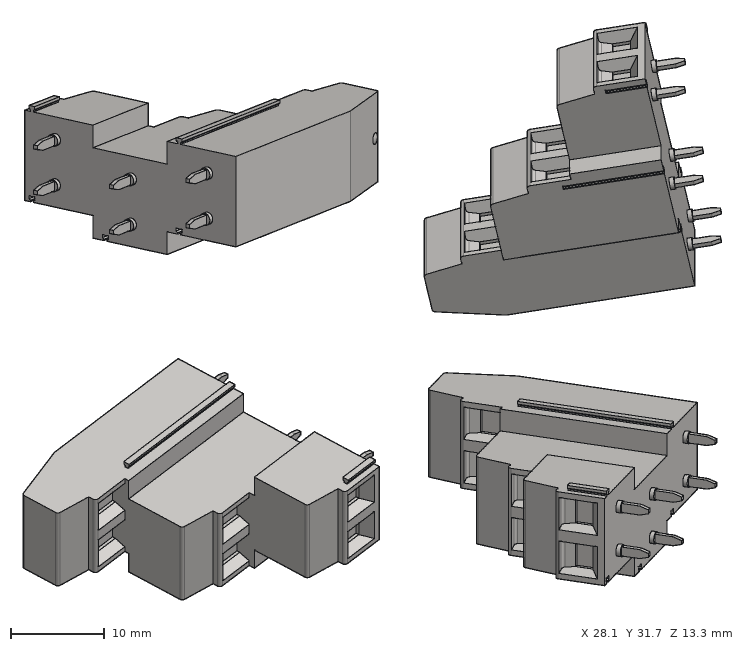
import cadquery as cq

BLOCK_COUNT = 3
POLE_COUNT = 2
LENGTH = 28.1
BODY_HEIGHT = 28.15
TOTAL_HEIGHT = 31.7
BLOCK_DEPTH = 10.1
Z_STAGGER = 2.55
STEP_RISE = 9.1
POLE_PITCH = BLOCK_DEPTH / POLE_COUNT

SPLIT_X = (9.07, 18.95)
WIRE_FACE_X = (0.0, 9.8, 19.5)
SHELF_WIDTH = 0.98
SHELF_DROP = 4.28
SLOPE_RUN = 0.7
BACK_SLOPE_RUN = 1.93
BACK_SLOPE_RISE = 7.65
EDGE_RADIUS = 0.38

FUNNEL_TOP_BELOW_SHELF = 0.48
FUNNEL_BOTTOM_Y = 0.82
FUNNEL_WIDTH = 3.75
FUNNEL_DEPTH = 1.33
FUNNEL_SIDE_TAPER = 0.48
FUNNEL_FLOOR_TAPER = 1.0
CLAMP_TOP_DROP = 1.4
CLAMP_DEPTH = 1.7
ROOF_BACK_DEPTH = 0.95
ROOF_RADIUS = 0.38

PIN_X = (4.1, 14.2, 24.35)
COLLAR_DIAMETER = 1.33
COLLAR_LENGTH = 0.5
BLADE_THICKNESS = 0.5
BLADE_WIDTH = 1.05
TIP_WIDTH = 0.45
TIP_LENGTH = 0.98

RIB_X = (0.95, 10.75, 20.55)
RIB_TOP_Y = (4.47, 11.0, 17.53)
RIB_HEIGHT = 0.63
RIB_WIDTH = 0.75
RIB_NECK_WIDTH = 0.4
RIB_NECK_HEIGHT = 0.15
RIB_HEAD_HEIGHT = 0.32

DOME_DIAMETER = 1.27
DOME_HEIGHT = 0.15
DOME_BELOW_TOP = 0.95
DOME_ROOT = 0.15

BLOCK_TOP_Y = [BODY_HEIGHT - STEP_RISE * (BLOCK_COUNT - 1 - index) for index in range(BLOCK_COUNT)]
BLOCK_BOTTOM_Z = (Z_STAGGER, 0.0, Z_STAGGER)
RIBBED_BLOCKS = (0, 2)


def block_outline(index):
    """Corner points of a block outline and the corners that are rounded."""
    top = BLOCK_TOP_Y[index]
    shelf = top - SHELF_DROP
    face = WIRE_FACE_X[index]
    shelf_corner = (face, shelf)
    front_corner = (face + SHELF_WIDTH + SLOPE_RUN, top)
    rounded = [shelf_corner, front_corner]

    if index == 0:
        points = [(face, 0)]
    else:
        step = BLOCK_TOP_Y[index - 1]
        split = SPLIT_X[index - 1]
        points = [(split, 0), (split, step), (face, step)]
    points += [shelf_corner, (face + SHELF_WIDTH, shelf), front_corner]

    if index < len(SPLIT_X):
        points += [(SPLIT_X[index], top), (SPLIT_X[index], 0)]
    else:
        back_corner = (LENGTH - BACK_SLOPE_RUN, top)
        points += [back_corner, (LENGTH, top - BACK_SLOPE_RISE), (LENGTH, 0)]
        rounded.append(back_corner)
    return points, rounded


def make_block(index):
    points, rounded = block_outline(index)
    bottom = BLOCK_BOTTOM_Z[index]
    block = cq.Workplane("XY").workplane(offset=bottom).polyline(points).close().extrude(BLOCK_DEPTH)
    for x, y in rounded:
        edge = cq.selectors.NearestToPointSelector((x, y, bottom + BLOCK_DEPTH / 2))
        block = block.edges("|Z").edges(edge).fillet(EDGE_RADIUS)
    return block


def wire_entry(height, floor_taper):
    """Wire-entry cavity: outer lower edge on the X = 0, Y = 0 line, centred on Z = 0."""
    back_width = FUNNEL_WIDTH - 2 * FUNNEL_SIDE_TAPER
    back_height = height - floor_taper
    frustum = (
        cq.Workplane("YZ")
        .center(height / 2, 0)
        .rect(height, FUNNEL_WIDTH)
        .workplane(offset=FUNNEL_DEPTH)
        .center(floor_taper / 2, 0)
        .rect(back_height, back_width)
        .loft(ruled=True)
    )
    clamp_top = height - CLAMP_TOP_DROP
    side_profile = (
        cq.Workplane("XY")
        .polyline([
            (0, 0),
            (FUNNEL_DEPTH, 0),
            (FUNNEL_DEPTH, clamp_top),
            (ROOF_BACK_DEPTH, height),
            (0, height),
        ])
        .close()
        .extrude(FUNNEL_WIDTH / 2, both=True)
    )
    roof_edge = cq.selectors.NearestToPointSelector((ROOF_BACK_DEPTH, height, 0))
    side_profile = side_profile.edges("|Z").edges(roof_edge).fillet(ROOF_RADIUS)
    clamp = (
        cq.Workplane("XY")
        .box(CLAMP_DEPTH, clamp_top - floor_taper, back_width, centered=(False, False, True))
        .translate((0, floor_taper, 0))
    )
    return frustum.intersect(side_profile).union(clamp)


def solder_pin():
    """Pin hanging in -Y from the origin: round collar, then a flat blade with a tapered tip."""
    collar = cq.Workplane("XZ").circle(COLLAR_DIAMETER / 2).extrude(COLLAR_LENGTH)
    tip_y = BODY_HEIGHT - TOTAL_HEIGHT
    half = BLADE_WIDTH / 2
    half_tip = TIP_WIDTH / 2
    blade = (
        cq.Workplane("YZ")
        .polyline([
            (0, -half),
            (tip_y + TIP_LENGTH, -half),
            (tip_y, -half_tip),
            (tip_y, half_tip),
            (tip_y + TIP_LENGTH, half),
            (0, half),
        ])
        .close()
        .extrude(BLADE_THICKNESS / 2, both=True)
    )
    return collar.union(blade)


def locking_rib(length):
    """T-shaped rib standing in +Z from the origin and running in +Y."""
    half = RIB_WIDTH / 2
    half_neck = RIB_NECK_WIDTH / 2
    head_bottom = RIB_HEIGHT - RIB_HEAD_HEIGHT
    return (
        cq.Workplane("XZ")
        .polyline([
            (-half_neck, 0),
            (-half_neck, RIB_NECK_HEIGHT),
            (-half, head_bottom),
            (-half, RIB_HEIGHT),
            (half, RIB_HEIGHT),
            (half, head_bottom),
            (half_neck, RIB_NECK_HEIGHT),
            (half_neck, 0),
        ])
        .close()
        .extrude(-length)
    )


def back_dome():
    """Shallow spherical dome standing on the sloped back face, rooted a little inside it."""
    sphere_radius = ((DOME_DIAMETER / 2) ** 2 + DOME_HEIGHT**2) / (2 * DOME_HEIGHT)
    sink = sphere_radius - DOME_HEIGHT
    face_x = LENGTH - BACK_SLOPE_RUN * (1 - DOME_BELOW_TOP / BACK_SLOPE_RISE)
    face_plane = cq.Plane(
        origin=(face_x, BODY_HEIGHT - DOME_BELOW_TOP, BLOCK_BOTTOM_Z[-1] + BLOCK_DEPTH / 2),
        xDir=(0, 0, 1),
        normal=(BACK_SLOPE_RISE, BACK_SLOPE_RUN, 0),
    )
    stub = cq.Workplane(face_plane).workplane(offset=-DOME_ROOT).circle(DOME_DIAMETER / 2)
    stub = stub.extrude(DOME_ROOT + DOME_HEIGHT)
    sphere = cq.Workplane(face_plane).workplane(offset=-sink).sphere(sphere_radius)
    return stub.intersect(sphere)


result = make_block(0)
for index in range(1, BLOCK_COUNT):
    result = result.union(make_block(index))
result = result.union(back_dome())

for index in range(BLOCK_COUNT):
    bottom = BLOCK_BOTTOM_Z[index]

    entry_top = BLOCK_TOP_Y[index] - SHELF_DROP - FUNNEL_TOP_BELOW_SHELF
    if index == 0:
        entry_y = FUNNEL_BOTTOM_Y
        entry = wire_entry(entry_top - entry_y, FUNNEL_FLOOR_TAPER)
    else:
        entry_y = BLOCK_TOP_Y[index - 1]
        entry = wire_entry(entry_top - entry_y, 0)
    for pole in range(POLE_COUNT):
        pole_z = bottom + POLE_PITCH * (pole + 0.5)
        result = result.cut(entry.translate((WIRE_FACE_X[index], entry_y, pole_z)))
        result = result.union(solder_pin().translate((PIN_X[index], 0, pole_z)))

    rib = locking_rib(RIB_TOP_Y[index])
    result = result.cut(rib.translate((RIB_X[index], 0, bottom)))
    if index in RIBBED_BLOCKS:
        result = result.union(rib.translate((RIB_X[index], 0, bottom + BLOCK_DEPTH)))